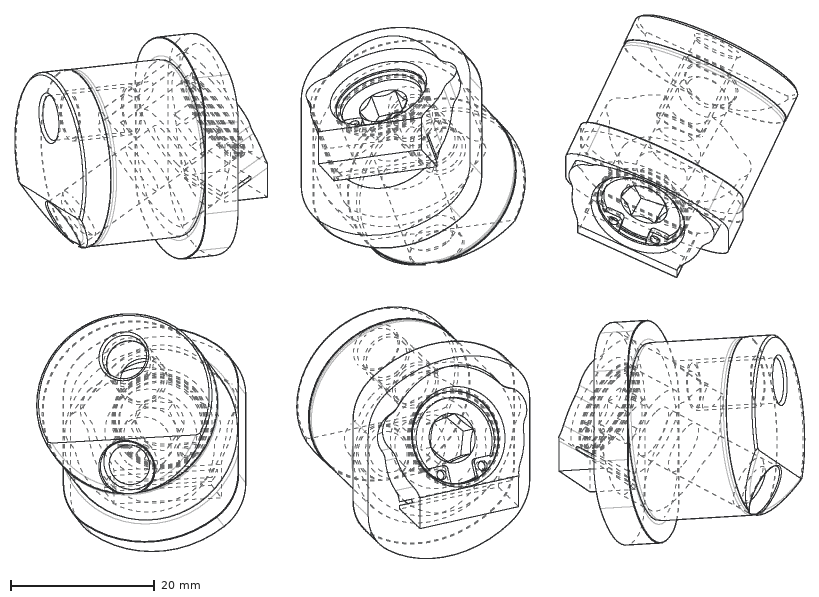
import cadquery as cq
import math

TILT = math.radians(30)
axis_direction = cq.Vector(0, math.cos(TILT), math.sin(TILT))
tilted_plane = cq.Plane(origin=(0, 0, 0), xDir=(-1, 0, 0), normal=axis_direction.toTuple())

barrel_radius = 25.0 / 2
ground_radius = 12.45
barrel_length = 18.33
relief_radius = 12.35
base_relief_length = 0.4
front_relief_start = 13.38
front_relief_middle = 13.82
front_relief_end = 14.22
front_relief_middle_radius = 12.42
front_edge_chamfer = 0.35
nose_edge_on_barrel = 0.2
nose_edge_on_nose = 0.78
nose_height = 5.73

flange_thickness = 5.0
flange_height = 31.12
flange_end_radius = 15.93
flange_corner_radius = 7.53
flange_edge_chamfer = 0.1
flange_relief_radius = 12.95
flange_relief_depth = 0.1

front_hole_radius = 3.15
front_hole_height = 6.25
front_hole_chamfer = 0.4

sleeve_outer_radius = 3.55
sleeve_inner_radius = 3.1
sleeve_front = -15.1
sleeve_back = -5.82
sleeve_pocket_back = -2.18

cartridge_radius = 9.9
cartridge_face = 9.2
cartridge_end = -4.98
ear_radius = 3.02
ear_distance = 8.37
ear_angle = math.radians(16)
ear_blend_radius = 3.0
block_half_width = 7.62
block_length = 6.55
block_bottom = -6.4
block_blend_radius = 4.0
slot_width = 0.5
slot_drop = 7.3
slot_end = 6.2

seat_radius = 6.5
seat_mouth_radius = 7.03
seat_mouth_depth = 1.0

clip_depth = 1.28
clip_thickness = 0.85
clip_outer_radius = 6.78
clip_inner_radius = 5.88
clip_inner_drop = 0.25
clip_to_head_gap = 0.15
lug_inner_x = 2.05
lug_outer_x = 4.9
lug_top = 3.45
lug_corner_radius = 0.6
lug_hole_x = 3.17
lug_hole_drop = 4.67
lug_hole_radius = 0.7

head_length = 6.85
head_chamfer = 0.15
hex_across_flats = 6.0
hex_turn = 10.0
hex_depth = 3.73
hex_mouth_chamfer = 0.47
shank_radius = 3.8
shank_hole_chamfer = 0.2
tip_chamfer = 0.93
tip_inset = 1.93

rear_y = flange_thickness + block_length
nose_along = -(barrel_length * math.cos(TILT) + nose_height * math.sin(TILT))
screw_tip = nose_along + tip_inset
clip_top = cartridge_face - clip_depth
clip_bottom = clip_top - clip_thickness
head_top = clip_bottom - clip_to_head_gap
head_bottom = head_top - head_length
clearance = 18.67


def tilted(along):
    """Workplane square to the tilted axis."""
    return cq.Workplane(tilted_plane).workplane(offset=along)


def tilted_cylinder(radius, start, end):
    return tilted(start).circle(radius).extrude(end - start)


def tilted_cone(start_radius, end_radius, start, end):
    base = axis_direction.multiply(start)
    return cq.Workplane(cq.Solid.makeCone(start_radius, end_radius, end - start, base, axis_direction))


def space(front_y, back_y, bottom_z, top_z):
    """Box across the whole width of the part."""
    box = cq.Workplane("XY", origin=(0, front_y, bottom_z))
    return box.box(2 * clearance, back_y - front_y, top_z - bottom_z, centered=(True, False, False))


def straight_cylinder(radius, front_y, back_y):
    """Cylinder along Y on the line of the straight front hole."""
    base = cq.Workplane("XZ", origin=(0, front_y, front_hole_height))
    return base.circle(radius).extrude(front_y - back_y)


def turned(profile):
    """Solid of revolution about the Y axis from (radius, y) points."""
    return cq.Workplane("XY").polyline(profile).close().revolve(360, (0, 0, 0), (0, 1, 0))


def make_flange():
    """Two end arcs joined by flat sides, with rounded corners."""
    end_arc_center = flange_height / 2 - flange_end_radius
    flange = cq.Workplane("XZ").rect(2 * barrel_radius, flange_height).extrude(-flange_thickness)
    for center in (end_arc_center, -end_arc_center):
        end_disc = cq.Workplane("XZ").center(0, center).circle(flange_end_radius)
        flange = flange.intersect(end_disc.extrude(-flange_thickness))
    flange = flange.edges("|Y").fillet(flange_corner_radius)
    flange = flange.faces("<Y").edges().chamfer(flange_edge_chamfer)
    relief = turned([
        (0, 0),
        (flange_relief_radius, 0),
        (relief_radius, flange_relief_depth),
        (0, flange_relief_depth),
    ])
    return flange.cut(relief)


def make_barrel():
    """Round part of the housing with its reliefs, sloping nose and bevelled front edges."""
    barrel = turned([
        (0, flange_thickness / 2),
        (relief_radius, flange_thickness / 2),
        (relief_radius, 0),
        (ground_radius, -base_relief_length),
        (ground_radius, -front_relief_start),
        (front_relief_middle_radius, -front_relief_middle),
        (relief_radius, -front_relief_end),
        (barrel_radius, -front_relief_end),
        (barrel_radius, -barrel_length),
        (0, -barrel_length),
    ])
    beyond_nose = tilted(nose_along).rect(4 * clearance, 4 * clearance).extrude(-clearance)
    barrel = barrel.cut(beyond_nose)
    barrel = barrel.edges("%ELLIPSE").chamfer(nose_edge_on_barrel, nose_edge_on_nose)
    return barrel.faces("<Y").edges("%CIRCLE").chamfer(front_edge_chamfer)


def make_cartridge_prism(start, end):
    """Round bar with two blended ears; fills the tilted socket of the housing."""
    prism = tilted_cylinder(cartridge_radius, start, end)
    ear_height = ear_distance * math.sin(ear_angle)
    for side in (-1, 1):
        ear = tilted(start).center(side * ear_distance * math.cos(ear_angle), ear_height)
        prism = prism.union(ear.circle(ear_radius).extrude(end - start))
    return prism.edges(cq.selectors.ParallelDirSelector(axis_direction)).fillet(ear_blend_radius)


def cut_straight_hole(housing):
    mouth = turned([
        (0, -barrel_length),
        (front_hole_radius + front_hole_chamfer, -barrel_length),
        (front_hole_radius, front_hole_chamfer - barrel_length),
        (0, front_hole_chamfer - barrel_length),
    ])
    housing = housing.cut(mouth.translate((0, 0, front_hole_height)))
    housing = housing.cut(straight_cylinder(front_hole_radius, -barrel_length, sleeve_front))
    return housing.cut(straight_cylinder(sleeve_outer_radius, sleeve_front, sleeve_pocket_back))


def cut_screw_hole(housing):
    mouth_end = nose_along + shank_hole_chamfer
    mouth = tilted_cone(shank_radius + shank_hole_chamfer, shank_radius, nose_along, mouth_end)
    return housing.cut(tilted_cylinder(shank_radius, nose_along, cartridge_end)).cut(mouth)


def make_housing():
    housing = make_barrel().union(make_flange())
    housing = housing.cut(make_cartridge_prism(cartridge_end, clearance))
    return cut_screw_hole(cut_straight_hole(housing))


def make_sleeve():
    sleeve = straight_cylinder(sleeve_outer_radius, sleeve_front, sleeve_back)
    return sleeve.cut(straight_cylinder(sleeve_inner_radius, sleeve_front, sleeve_back))


def make_block():
    """Rear foot blended into the round bar, behind the flange only."""
    reach = cartridge_face - cartridge_end
    foot = (
        tilted(cartridge_end)
        .center(0, -clearance / 2)
        .rect(2 * block_half_width, clearance)
        .extrude(reach)
        .union(tilted_cylinder(cartridge_radius, cartridge_end, cartridge_face))
    )
    corner = math.sqrt(cartridge_radius**2 - block_half_width**2)
    middle = (cartridge_end + cartridge_face) / 2
    for side in (-1, 1):
        point = tilted_plane.toWorldCoords((side * block_half_width, -corner, middle))
        foot = foot.edges(cq.selectors.NearestToPointSelector(point.toTuple())).fillet(block_blend_radius)
    return foot.intersect(space(flange_thickness, rear_y, block_bottom, clearance))


def make_slot():
    """Round-ended slot along the tilted axis, open towards the flange."""
    slot_length = clearance
    slot = (
        cq.Workplane("YZ", origin=(-clearance, 0, 0))
        .slot2D(slot_length, slot_width)
        .extrude(2 * clearance)
        .rotate((0, 0, 0), (1, 0, 0), math.degrees(TILT))
    )
    center = tilted_plane.toWorldCoords((0, -slot_drop, slot_end - slot_length / 2))
    slot = slot.translate(center.toTuple())
    return slot.intersect(space(flange_thickness, rear_y, block_bottom, clearance))


def cut_screw_seat(cartridge):
    mouth_bottom = cartridge_face - seat_mouth_depth
    cartridge = cartridge.cut(tilted_cone(seat_radius, seat_mouth_radius, mouth_bottom, cartridge_face))
    cartridge = cartridge.cut(tilted_cylinder(seat_radius, head_bottom, cartridge_face))
    cartridge = cartridge.cut(tilted_cylinder(clip_outer_radius, clip_bottom, clip_top))
    return cartridge.cut(tilted_cylinder(shank_radius, cartridge_end, head_bottom))


def make_cartridge():
    cartridge = make_cartridge_prism(cartridge_end, cartridge_face)
    cartridge = cartridge.cut(space(flange_thickness, clearance, -clearance, block_bottom))
    cartridge = cartridge.cut(space(rear_y, clearance, -clearance, clearance))
    cartridge = cartridge.union(make_block()).cut(make_slot())
    cartridge = cartridge.cut(straight_cylinder(sleeve_outer_radius, sleeve_front, sleeve_back))
    return cut_screw_seat(cartridge)


def make_circlip():
    """Open ring with two drilled lugs beside its gap."""
    ring = tilted(clip_bottom).circle(clip_outer_radius)
    ring = ring.extrude(clip_thickness)
    opening = tilted(clip_bottom).center(0, -clip_inner_drop).circle(clip_inner_radius)
    ring = ring.cut(opening.extrude(clip_thickness))
    gap = tilted(clip_bottom).center(0, -clip_outer_radius).rect(2 * lug_inner_x, clip_outer_radius)
    ring = ring.cut(gap.extrude(clip_thickness))
    disc = tilted_cylinder(clip_outer_radius, clip_bottom, clip_top)
    lug_height = clip_outer_radius - lug_top
    for side in (-1, 1):
        lug = (
            tilted(clip_bottom)
            .center(side * (lug_inner_x + lug_outer_x) / 2, -(clip_outer_radius + lug_top) / 2)
            .rect(lug_outer_x - lug_inner_x, lug_height)
            .extrude(clip_thickness)
            .edges(cq.selectors.ParallelDirSelector(axis_direction))
            .fillet(lug_corner_radius)
            .intersect(disc)
        )
        hole = tilted(clip_bottom).center(side * lug_hole_x, -lug_hole_drop).circle(lug_hole_radius)
        ring = ring.union(lug).cut(hole.extrude(clip_thickness))
    return ring


def make_screw():
    """Hexagon socket screw with a bevelled head and tip."""
    head = tilted_cylinder(seat_radius, head_bottom, head_top - head_chamfer)
    rim = tilted_cone(seat_radius, seat_radius - head_chamfer, head_top - head_chamfer, head_top)
    head = head.union(rim)
    hex_corner_radius = hex_across_flats / math.sqrt(3)
    socket = (
        tilted(head_top)
        .transformed(rotate=(0, 0, hex_turn))
        .polygon(6, 2 * hex_corner_radius)
        .extrude(-hex_depth)
    )
    mouth = tilted_cone(
        hex_corner_radius - hex_mouth_chamfer, hex_corner_radius, head_top - hex_mouth_chamfer, head_top
    )
    shank = tilted_cylinder(shank_radius, screw_tip + tip_chamfer, head_bottom)
    tip = tilted_cone(shank_radius - tip_chamfer, shank_radius, screw_tip, screw_tip + tip_chamfer)
    return head.cut(socket).cut(mouth).union(shank).union(tip)


housing = make_housing()
sleeve = make_sleeve()
cartridge = make_cartridge()
circlip = make_circlip()
screw = make_screw()

result = cq.Compound.makeCompound(
    [housing.val(), sleeve.val(), cartridge.val(), circlip.val(), screw.val()]
)